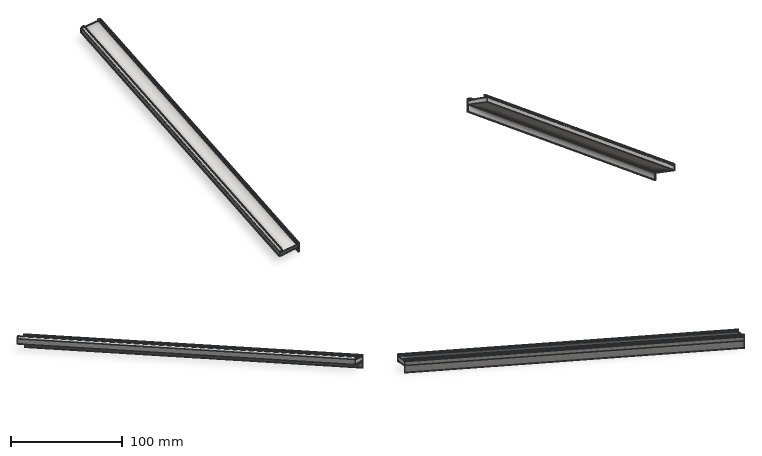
import cadquery as cq
import math

length = 320.0
depth = 21.0
height = 13.0
front = -depth / 2
back = depth / 2

bar_bottom = 6.5
leg_thickness = 1.0

floor_height = 11.0
flat_end = -4.5
crown_radius = 108.8

wall = 1.0
lip_thickness = 0.5
lip_top_back = 12.0
back_lip_reach = 3.0
front_lip_reach = 3.2
front_round = 2.5
back_lip_drop = 0.3
back_bevel = 0.5


def crown_height(y):
    """Height of the arched floor at a given y."""
    offset = y - flat_end
    return floor_height - crown_radius + math.sqrt(crown_radius**2 - offset**2)


def front_quarter_point(y_center, z_center, radius):
    """Middle of the quarter arc above and in front of its centre."""
    reach = radius * math.sqrt(0.5)
    return (y_center - reach, z_center + reach)


front_center_y = front + front_round
front_center_z = height - front_round
inner_radius = height - lip_thickness - floor_height
inner_wall_front = front + wall
inner_center_y = inner_wall_front + inner_radius
inner_wall_back = back - wall
crown_middle = (flat_end + inner_wall_back) / 2

profile = (
    cq.Workplane("YZ", origin=(-length / 2, 0, 0))
    .moveTo(back, 0)
    .lineTo(back, lip_top_back - back_lip_drop - back_bevel)
    .lineTo(back - back_bevel, lip_top_back - back_lip_drop)
    .lineTo(back - back_lip_reach, lip_top_back)
    .lineTo(back - back_lip_reach, lip_top_back - lip_thickness)
    .lineTo(inner_wall_back, lip_top_back - back_lip_drop - lip_thickness)
    .lineTo(inner_wall_back, crown_height(inner_wall_back))
    .threePointArc((crown_middle, crown_height(crown_middle)), (flat_end, floor_height))
    .lineTo(inner_wall_front, floor_height)
    .threePointArc(
        front_quarter_point(inner_center_y, floor_height, inner_radius),
        (inner_center_y, floor_height + inner_radius),
    )
    .lineTo(front + front_lip_reach, height - lip_thickness)
    .lineTo(front + front_lip_reach, height)
    .lineTo(front_center_y, height)
    .threePointArc(
        front_quarter_point(front_center_y, front_center_z, front_round),
        (front, front_center_z),
    )
    .lineTo(front, bar_bottom)
    .lineTo(back - leg_thickness, bar_bottom)
    .lineTo(back - leg_thickness, 0)
    .close()
)

result = profile.extrude(length).translate((0, 0, -height / 2))